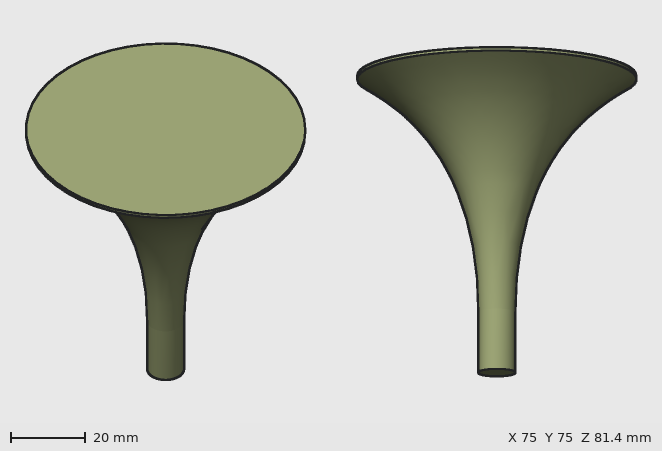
import cadquery as cq

total_height = 81.4
rim_diameter = 75.0
stem_diameter = 10.0
stem_height = 16.45
rim_thickness = 1.0

lower_handle_height = 56.0
upper_handle_radius = 23.5
upper_handle_height = 72.0

rim_radius = rim_diameter / 2
stem_radius = stem_diameter / 2
flare_top = total_height - rim_thickness

flare_control_points = [
    (stem_radius, stem_height),
    (stem_radius, lower_handle_height),
    (upper_handle_radius, upper_handle_height),
    (rim_radius, flare_top),
]

half_section = (
    cq.Workplane("XZ")
    .lineTo(stem_radius, 0)
    .lineTo(stem_radius, stem_height)
    .bezier(flare_control_points)
    .lineTo(rim_radius, total_height)
    .lineTo(0, total_height)
    .close()
)

result = half_section.revolve(360, (0, 0, 0), (0, 1, 0))